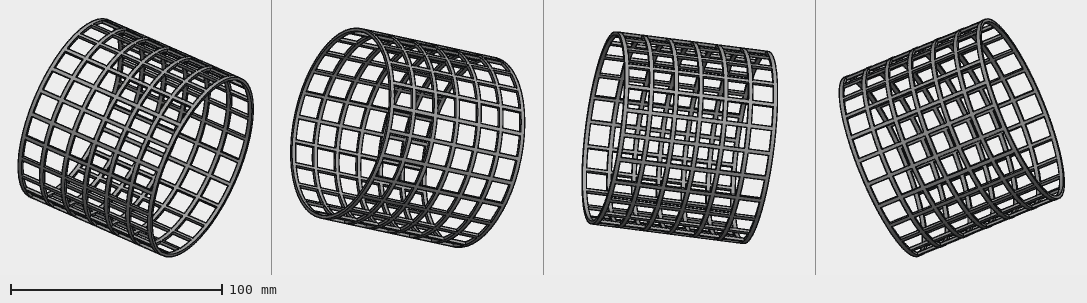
import cadquery as cq
import math

outer_diameter = 91.75
wall = 1.5
bar_width = 2.0
windows_around = 24
windows_along = 6

inner_diameter = outer_diameter - 2 * wall

pitch = math.pi * outer_diameter / windows_around
window_size = pitch - bar_width
length = windows_along * pitch + bar_width

cutter_depth = 5 * wall
wall_radius = (outer_diameter - wall) / 2
pitch_angle = 360 / windows_around


def tube():
    """Plain tube along X, centred on the origin."""
    profile = cq.Workplane("YZ").circle(outer_diameter / 2).circle(inner_diameter / 2)
    return profile.extrude(length).translate((-length / 2, 0, 0))


def window_cutters(row):
    """Square blocks that cut one ring of windows, the first one centred on +Y."""
    centre_x = (row - (windows_along - 1) / 2) * pitch
    block = cq.Workplane("XY").box(window_size, cutter_depth, window_size)
    cutter = block.translate((centre_x, wall_radius, 0))
    return [
        cutter.rotate((0, 0, 0), (1, 0, 0), step * pitch_angle).val()
        for step in range(windows_around)
    ]


cutters = [cutter for row in range(windows_along) for cutter in window_cutters(row)]
result = cq.Workplane(tube().val().cut(*cutters))